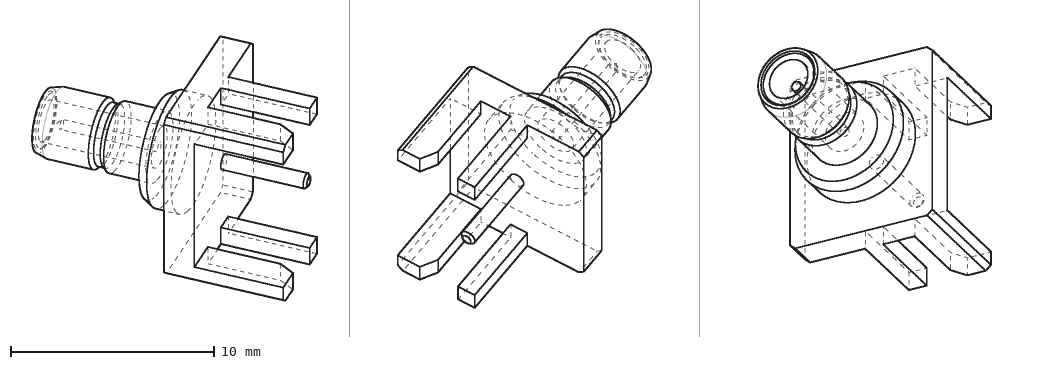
import cadquery as cq

overall_length = 14.2

barrel_radius = 1.83
nose_radius = 1.66
nose_taper_length = 0.6
groove_radius = 1.63
groove_start = 3.05
groove_floor_start = 3.25
groove_floor_end = 3.6
groove_end = 3.86

collar_front = 6.08
collar_radius = 3.01
collar_chamfer_length = 0.53
collar_chamfer_height = 0.3

mouth_radius = 1.49
mouth_floor_radius = 1.4
mouth_depth = 0.09
bore_radius = 1.06
bore_floor = collar_front

contact_radius = 0.25
contact_tip = 0.65
contact_point_length = contact_radius
pin_radius = 0.4
pin_end = 14.0
pin_chamfer = 0.14

plate_front = 7.88
plate_back = 9.5
plate_width = 7.9
plate_height = 9.5
corner_width = 0.3
corner_height = 0.25

leg_thickness = 1.01
narrow_leg_top = 0.61
narrow_leg_width = 1.0
wide_leg_inner = -2.13
wide_leg_bevel_length = 0.87
wide_leg_bevel_width = 0.5


def revolve_about_x(points):
    """Revolve a closed (X, radius) outline about the X axis."""
    return cq.Workplane("XY").polyline(points).close().revolve(360, (0, 0, 0), (1, 0, 0))


def make_body():
    return revolve_about_x([
        (0, 0),
        (0, nose_radius),
        (nose_taper_length, barrel_radius),
        (groove_start, barrel_radius),
        (groove_floor_start, groove_radius),
        (groove_floor_end, groove_radius),
        (groove_end, barrel_radius),
        (collar_front, barrel_radius),
        (collar_front, collar_radius - collar_chamfer_height),
        (collar_front + collar_chamfer_length, collar_radius),
        (plate_back, collar_radius),
        (plate_back, 0),
    ])


def make_socket():
    return revolve_about_x([
        (0, 0),
        (0, mouth_radius),
        (mouth_depth, mouth_floor_radius),
        (mouth_depth, bore_radius),
        (bore_floor, bore_radius),
        (bore_floor, 0),
    ])


def make_contact():
    """Pointed contact in the socket, continuing as the chamfered rear pin."""
    return revolve_about_x([
        (contact_tip, 0),
        (contact_tip + contact_point_length, contact_radius),
        (bore_floor, contact_radius),
        (bore_floor, pin_radius),
        (pin_end - pin_chamfer, pin_radius),
        (pin_end, pin_radius - pin_chamfer),
        (pin_end, 0),
    ])


def make_corner_prism():
    """Full-length rectangular prism with bevelled corners."""
    side = plate_width / 2
    top = plate_height / 2
    outline = [
        (side, top - corner_height),
        (side - corner_width, top),
        (corner_width - side, top),
        (-side, top - corner_height),
        (-side, corner_height - top),
        (corner_width - side, -top),
        (side - corner_width, -top),
        (side, corner_height - top),
    ]
    length = overall_length - plate_front
    return cq.Workplane("YZ").workplane(offset=plate_front).polyline(outline).close().extrude(length)


def make_plate_and_legs():
    """Plate and leg plan, cut open between the upper and lower pairs of legs."""
    side = plate_width / 2
    narrow_leg_bottom = narrow_leg_top - narrow_leg_width
    plan = [
        (plate_front, -side),
        (overall_length, -side),
        (overall_length, wide_leg_inner - wide_leg_bevel_width),
        (overall_length - wide_leg_bevel_length, wide_leg_inner),
        (plate_back, wide_leg_inner),
        (plate_back, narrow_leg_bottom),
        (overall_length, narrow_leg_bottom),
        (overall_length, narrow_leg_top),
        (plate_back, narrow_leg_top),
        (plate_back, side),
        (plate_front, side),
    ]
    plate = cq.Workplane("XY").polyline(plan).close().extrude(plate_height / 2, both=True)
    leg_length = overall_length - plate_back
    gap_height = plate_height - 2 * leg_thickness
    gap = cq.Workplane("XY").box(leg_length, plate_width, gap_height)
    gap = gap.translate((plate_back + leg_length / 2, 0, 0))
    return plate.intersect(make_corner_prism()).cut(gap)


result = make_body().cut(make_socket()).union(make_plate_and_legs()).union(make_contact())